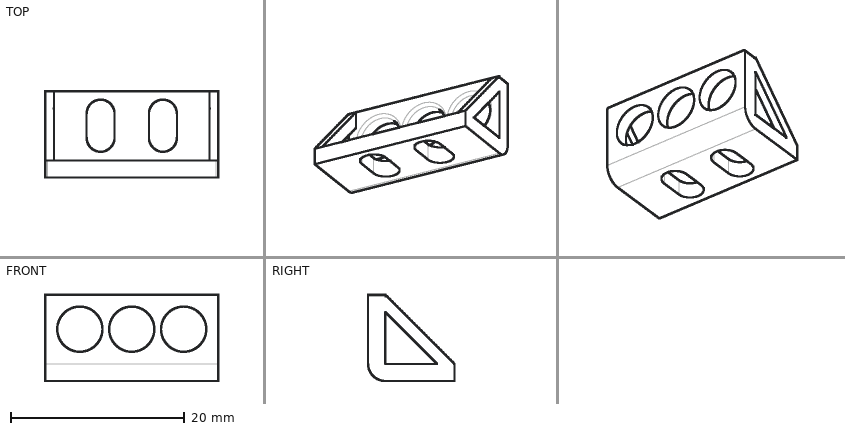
import cadquery as cq

length = 20.0
depth = 10.0
height = 10.0

wall = 2.0
outer_radius = 2.0
brace_width = 1.0
window_leg = 5.95
top_corner_radius = 0.25

hole_diameter = 5.2
hole_spacing = 6.0
hole_height = 6.0
hole_rim_radius = 0.38

slot_width = 3.2
slot_length = 6.0
slot_spacing = 7.2
slot_center_y = 6.0


def extrude_along_length(outline_points, x_start, x_length):
    """Extrude a closed (Y, Z) outline along +X."""
    return (
        cq.Workplane("YZ", origin=(x_start, 0, 0))
        .polyline(outline_points)
        .close()
        .extrude(x_length)
    )


def upright_plate():
    """Drilled front plate with rounded upper corners and rounded rear hole rims."""
    plate = cq.Workplane("XY").box(length, wall, height, centered=False)
    plate = plate.cut(round_holes())
    plate = plate.faces(">Y").edges("%CIRCLE").fillet(hole_rim_radius)
    return plate.edges("|Y and >Z").fillet(top_corner_radius)


def base_plate():
    return cq.Workplane("XY").box(length, depth, wall, centered=False)


def side_brace(x_start):
    """Sloping brace with a triangular window between it and the plates."""
    outline = [(wall, wall), (depth, wall), (wall, height)]
    window = [(wall, wall), (wall + window_leg, wall), (wall, wall + window_leg)]
    brace = extrude_along_length(outline, x_start, brace_width)
    return brace.cut(extrude_along_length(window, x_start, brace_width))


def round_holes():
    return (
        cq.Workplane("XZ", origin=(length / 2, 0, hole_height))
        .rarray(hole_spacing, 0.2, 3, 1)
        .circle(hole_diameter / 2)
        .extrude(-wall)
    )


def base_slots():
    return (
        cq.Workplane("XY", origin=(length / 2, slot_center_y, 0))
        .rarray(slot_spacing, 0.2, 2, 1)
        .slot2D(slot_length, slot_width, 90)
        .extrude(wall)
    )


body = upright_plate().union(base_plate())
body = body.edges("|X and <Y and <Z").fillet(outer_radius)

for brace_start in (0, length - brace_width):
    body = body.union(side_brace(brace_start))

result = body.cut(base_slots())